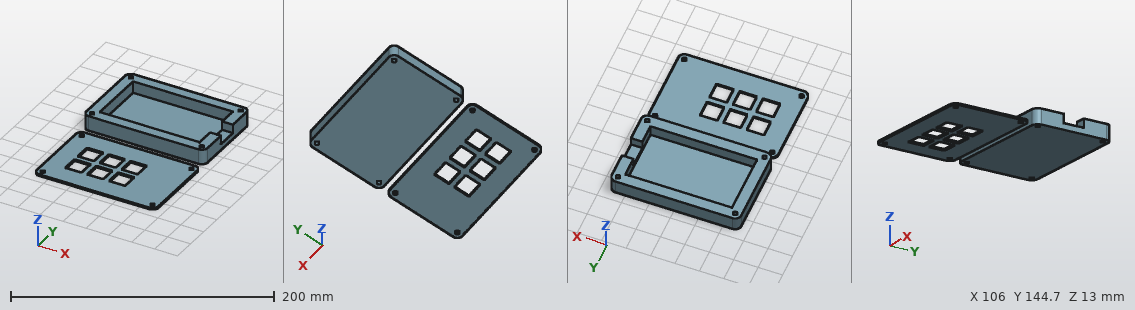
import cadquery as cq

LENGTH = 106.0
WIDTH = 69.6
CORNER_RADIUS = 5.0
BODY_GAP = 5.5

SCREW_DIAMETER = 3.3
SCREW_INSET = 5.0

CASE_HEIGHT = 13.0
WALL = 9.4
CASE_FLOOR = 2.9
NOTCH_WIDTH = 18.2
NOTCH_FLOOR = 5.5

PLATE_THICKNESS = 1.5
KEY_SIZE = 14.0
KEY_PITCH = 19.1
KEY_CORNER_RADIUS = 0.5
KEY_COLUMNS = 3
KEY_ROWS = 2
FIRST_KEY_EDGE = 17.2

PLATE_CENTER_Y = -(WIDTH + BODY_GAP)


def rounded_slab(thickness):
    """Slab with rounded corners and a screw hole through each corner."""
    return (
        cq.Workplane("XY")
        .rect(LENGTH, WIDTH)
        .extrude(thickness)
        .edges("|Z")
        .fillet(CORNER_RADIUS)
        .faces(">Z")
        .workplane()
        .rect(LENGTH - 2 * SCREW_INSET, WIDTH - 2 * SCREW_INSET, forConstruction=True)
        .vertices()
        .hole(SCREW_DIAMETER)
    )


def make_case():
    """Tray with a rectangular pocket and a notch through its +X wall."""
    pocket = (
        cq.Workplane("XY")
        .workplane(offset=CASE_FLOOR)
        .rect(LENGTH - 2 * WALL, WIDTH - 2 * WALL)
        .extrude(CASE_HEIGHT - CASE_FLOOR)
    )
    notch = (
        cq.Workplane("XY")
        .workplane(offset=NOTCH_FLOOR)
        .center((LENGTH - WALL) / 2, 0)
        .rect(WALL, NOTCH_WIDTH)
        .extrude(CASE_HEIGHT - NOTCH_FLOOR)
    )
    return rounded_slab(CASE_HEIGHT).cut(pocket).cut(notch)


def make_plate():
    """Flat cover with the grid of rounded key openings."""
    first_column_x = -LENGTH / 2 + FIRST_KEY_EDGE + KEY_SIZE / 2
    grid_center_x = first_column_x + KEY_PITCH * (KEY_COLUMNS - 1) / 2
    key_openings = (
        cq.Workplane("XY")
        .center(grid_center_x, 0)
        .rarray(KEY_PITCH, KEY_PITCH, KEY_COLUMNS, KEY_ROWS)
        .rect(KEY_SIZE, KEY_SIZE)
        .extrude(PLATE_THICKNESS)
        .edges("|Z")
        .fillet(KEY_CORNER_RADIUS)
    )
    plate = rounded_slab(PLATE_THICKNESS).cut(key_openings)
    return plate.translate((0, PLATE_CENTER_Y, 0))


case = make_case()
cover_plate = make_plate()

result = cq.Compound.makeCompound([case.val(), cover_plate.val()])